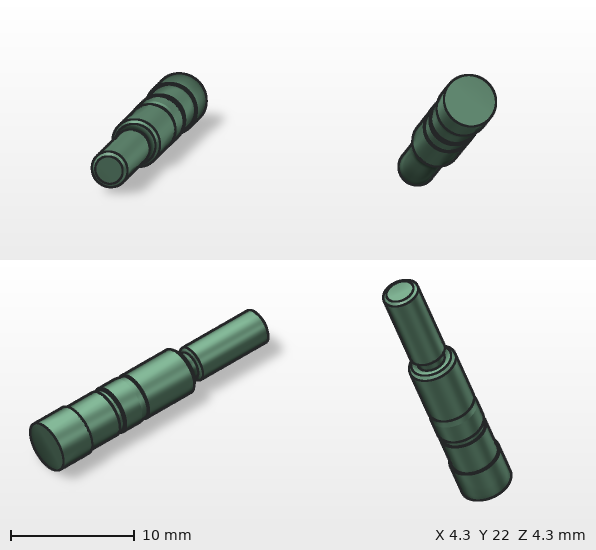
import cadquery as cq
import math

TOTAL_LENGTH = 22.0

HEAD_RADIUS = 2.15
HEAD_LENGTH = 3.0

BODY_RADIUS = 2.0
BODY_END = 14.0
BODY_CHAMFER = 0.3

GROOVE_RADIUS = 1.9
GROOVE_START = 6.0
GROOVE_END = 6.6

RING_RADIUS = 2.025
RING_TAPER_START = 8.3
RING_END = 9.0
RING_END_RADIUS = 1.92

NECK_RADIUS = 1.15
NECK_END = 14.8
PLUNGER_RADIUS = 1.5
PLUNGER_BEVEL_LENGTH = 0.2
PLUNGER_BEVEL_ANGLE = math.radians(60)
TIP_RADIUS = PLUNGER_RADIUS - PLUNGER_BEVEL_LENGTH * math.tan(PLUNGER_BEVEL_ANGLE)


def head_profile():
    return [
        (HEAD_RADIUS, 0),
        (HEAD_RADIUS, HEAD_LENGTH),
    ]


def body_profile():
    groove_bevel = RING_RADIUS - GROOVE_RADIUS
    step_bevel = BODY_RADIUS - RING_END_RADIUS
    return [
        (BODY_RADIUS, HEAD_LENGTH),
        (BODY_RADIUS, GROOVE_START),
        (GROOVE_RADIUS, GROOVE_START),
        (GROOVE_RADIUS, GROOVE_END - groove_bevel),
        (RING_RADIUS, GROOVE_END),
        (RING_RADIUS, RING_TAPER_START),
        (RING_END_RADIUS, RING_END - step_bevel),
        (BODY_RADIUS, RING_END),
        (BODY_RADIUS, BODY_END - BODY_CHAMFER),
        (BODY_RADIUS - BODY_CHAMFER, BODY_END),
    ]


def plunger_profile():
    return [
        (NECK_RADIUS, BODY_END),
        (NECK_RADIUS, NECK_END),
        (PLUNGER_RADIUS, NECK_END + PLUNGER_BEVEL_LENGTH),
        (PLUNGER_RADIUS, TOTAL_LENGTH - PLUNGER_BEVEL_LENGTH),
        (TIP_RADIUS, TOTAL_LENGTH),
    ]


def revolve_about_y(profile):
    """Revolve (radius, distance from the head) points around the Y axis."""
    outline = [(0, 0)] + profile + [(0, TOTAL_LENGTH)]
    points = [(radius, -distance) for radius, distance in outline]
    return cq.Workplane("XY").polyline(points).close().revolve(360, (0, 0, 0), (0, 1, 0))


result = revolve_about_y(head_profile() + body_profile() + plunger_profile())